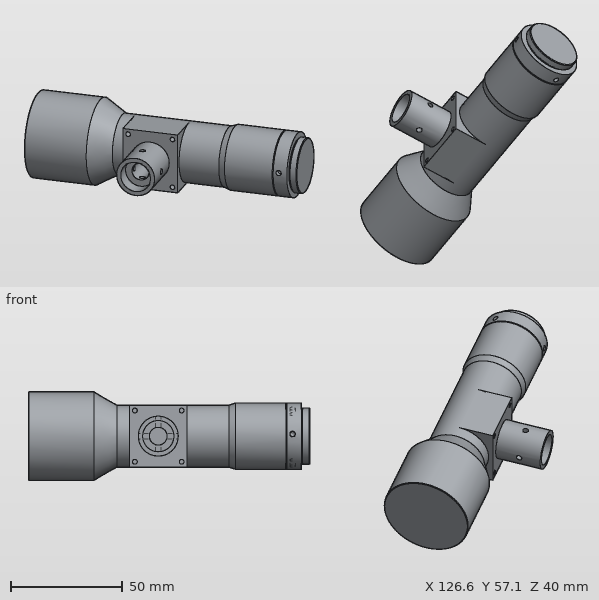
import cadquery as cq
import math

total_length = 126.6
head_diameter = 40.0
head_chamfer = 0.32
head_end = 29.4
taper_end = 39.8
body_diameter = 28.0
collar_diameter = 30.0
collar_taper_start = 90.1
collar_start = 93.2
collar_end = 122.7
groove_start = 115.7
groove_width = 0.5
neck_diameter = 24.2
neck_end = 123.3
mount_diameter = 25.5
mount_chamfer = 0.4

set_screw_count = 3
set_screw_diameter = 2.4
set_screw_depth = 3.0
set_screw_tip_depth = 0.8
set_screw_x = 118.8
set_screw_first_angle = 56.0

block_center_x = 58.4
block_width = 26.0
block_height = body_diameter
block_reach = 16.0
block_hole_diameter = 2.2
block_hole_depth = 5.1
block_hole_spacing_x = 21.0
block_hole_spacing_z = 23.0

tube_diameter = 18.0
tube_reach = 37.1
bore_diameter = 14.0
bore_depth = 7.0
inner_bore_diameter = 8.0
inner_bore_depth = tube_reach - block_reach - bore_depth
cross_hole_diameter = 2.5
cross_hole_reach = 27.1


def make_barrel():
    """Revolve the stepped half-outline of the barrel about the X axis."""
    head_radius = head_diameter / 2
    body_radius = body_diameter / 2
    collar_radius = collar_diameter / 2
    neck_radius = neck_diameter / 2
    groove_end = groove_start + groove_width
    mount_radius = mount_diameter / 2
    outline = [
        (0, 0),
        (0, head_radius - head_chamfer),
        (head_chamfer, head_radius),
        (head_end, head_radius),
        (taper_end, body_radius),
        (collar_taper_start, body_radius),
        (collar_start, collar_radius),
        (groove_start, collar_radius),
        (groove_start, neck_radius),
        (groove_end, neck_radius),
        (groove_end, collar_radius),
        (collar_end, collar_radius),
        (collar_end, neck_radius),
        (neck_end, neck_radius),
        (neck_end, mount_radius),
        (total_length - mount_chamfer, mount_radius),
        (total_length, mount_radius - mount_chamfer),
        (total_length, 0),
    ]
    return cq.Workplane("XY").polyline(outline).close().revolve(360, (0, 0, 0), (1, 0, 0))


def side_plane(reach):
    """Plane facing -Y, centred on the side block, at the given distance from the barrel axis."""
    return cq.Workplane(cq.Plane((block_center_x, -reach, 0), xDir=(1, 0, 0), normal=(0, -1, 0)))


def make_side_port():
    """Block with its tube, both centred on the same Y-directed axis."""
    block = side_plane(0).rect(block_width, block_height).extrude(block_reach)
    tube = side_plane(0).circle(tube_diameter / 2).extrude(tube_reach)
    return block.union(tube)


def make_port_holes():
    """Stepped bore of the tube, its cross holes and the four blind holes in the block face."""
    bore_floor = tube_reach - bore_depth
    bore = side_plane(tube_reach).circle(bore_diameter / 2).extrude(-bore_depth)
    inner_bore = side_plane(bore_floor).circle(inner_bore_diameter / 2).extrude(-inner_bore_depth)
    block_holes = (
        side_plane(block_reach)
        .rect(block_hole_spacing_x, block_hole_spacing_z, forConstruction=True)
        .vertices()
        .circle(block_hole_diameter / 2)
        .extrude(-block_hole_depth)
    )
    cutters = bore.union(inner_bore).union(block_holes)
    for cross_plane in ("XY", "YZ"):
        cross_hole = (
            cq.Workplane(cross_plane, origin=(block_center_x, -cross_hole_reach, 0))
            .circle(cross_hole_diameter / 2)
            .extrude(tube_diameter, both=True)
        )
        cutters = cutters.union(cross_hole)
    return cutters


def make_set_screw_holes():
    """Blind radial holes with conical floors, spaced evenly around the rear ring of the collar."""
    floor_radius = collar_diameter / 2 - set_screw_depth
    hole_radius = set_screw_diameter / 2
    cutters = []
    for index in range(set_screw_count):
        angle = math.radians(set_screw_first_angle + index * 360 / set_screw_count)
        outward = cq.Vector(0, math.cos(angle), math.sin(angle))
        start = cq.Vector(set_screw_x, 0, 0) + outward * floor_radius
        hole = cq.Solid.makeCylinder(hole_radius, collar_diameter / 2, start, outward)
        tip = cq.Solid.makeCone(hole_radius, 0, set_screw_tip_depth, start, -outward)
        cutters.append(hole.fuse(tip))
    return cq.Workplane(cq.Compound.makeCompound(cutters))


result = make_barrel().union(make_side_port()).cut(make_port_holes()).cut(make_set_screw_holes())